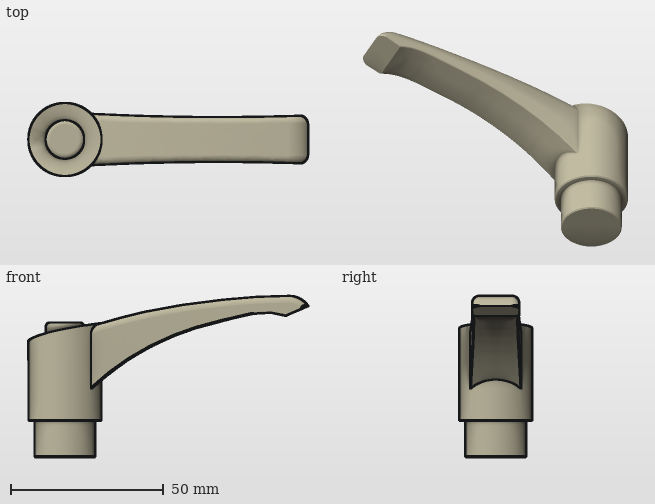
import cadquery as cq

overall_length = 91.7
overall_height = 52.9
hub_diameter = 24.0
hub_radius = hub_diameter / 2
hub_bottom = 11.9
hub_chamfer = 0.4
foot_diameter = 20.0
foot_chamfer = 0.4
foot_overlap = 0.9

rim_low = 38.1
rim_high = 44.0
dish_offset = 9.2

button_diameter = 12.65
button_top = 44.2
button_fillet = 1.6

tip_x = overall_length - hub_radius
tip_height = 49.5
arm_root_x = 7.3
arm_root_top = 42.45
arm_root_bottom = 21.1
crown_x = 73.35
root_slope = 0.33
top_points = [(25.0, 47.4), (38.8, 50.0), (52.6, 51.7)]
heel_x = 72.25
heel_z = 46.3
underside_points = [(67.5, 47.3), (55.4, 45.6), (42.3, 42.1), (30.9, 37.6), (19.4, 31.1)]
root_half_width = 8.5
waist_x = 42.2
waist_half_width = 7.4
end_half_width = 8.0
tip_corner_radius = 3.2
top_fillet = 2.3
bottom_fillet = 0.4


def make_hub():
    """Foot and hub, with the hub top hollowed by an off-centre dish."""
    foot = cq.Workplane("XY").circle(foot_diameter / 2).extrude(hub_bottom + foot_overlap)
    foot = foot.faces("<Z").chamfer(foot_chamfer)
    hub = cq.Workplane("XY").workplane(offset=hub_bottom).circle(hub_radius)
    hub = hub.extrude(overall_height - hub_bottom)
    hub = hub.faces("<Z").chamfer(hub_chamfer)

    slope = (rim_high - rim_low) / (2 * dish_offset)
    apex_z = rim_low - slope * (hub_radius - dish_offset)
    cone_radius = 2 * overall_height
    dish = (
        cq.Workplane("XZ")
        .moveTo(0, apex_z)
        .lineTo(cone_radius, apex_z + slope * cone_radius)
        .hLineTo(0)
        .close()
        .revolve(360, (0, 0, 0), (0, 1, 0))
        .translate((-dish_offset, 0, 0))
    )
    return foot.union(hub.cut(dish))


def make_button():
    """Round button with a rounded top edge, rooted inside the hub."""
    button = cq.Workplane("XY").workplane(offset=hub_bottom)
    button = button.circle(button_diameter / 2).extrude(button_top - hub_bottom)
    return button.faces(">Z").edges().fillet(button_fillet)


def round_long_edges(body, radius, upper):
    """Fillet the two long upper edges of the lever, or the two long lower ones."""
    edges = []
    for edge in body.edges().vals():
        box = edge.BoundingBox()
        is_upper = box.zmin > rim_low
        if box.xlen > waist_x and is_upper == upper:
            edges.append(edge)
    return cq.Workplane(body.val().fillet(radius, edges))


def lever_blank():
    """Waisted block with the curved lever top and its rounded upper edges."""
    drop = overall_height - tip_height
    tip_length = tip_x - crown_x
    nose_radius = (tip_length**2 + drop**2) / (2 * drop)
    side = (
        cq.Workplane("XZ")
        .moveTo(arm_root_x, arm_root_top)
        .spline(top_points + [(crown_x, overall_height)],
                tangents=[(1, root_slope), (1, 0)], includeCurrent=True)
        .radiusArc((crown_x + nose_radius, overall_height - nose_radius), nose_radius)
        .vLineTo(0)
        .hLineTo(arm_root_x)
        .close()
        .extrude(hub_diameter)
        .translate((0, hub_radius, 0))
    )
    end_x = crown_x + nose_radius
    plan = (
        cq.Workplane("XY")
        .moveTo(arm_root_x, -root_half_width)
        .threePointArc((waist_x, -waist_half_width), (end_x, -end_half_width))
        .vLineTo(end_half_width)
        .threePointArc((waist_x, waist_half_width), (arm_root_x, root_half_width))
        .close()
        .extrude(2 * overall_height)
    )
    return round_long_edges(side.intersect(plan), top_fillet, upper=True)


def make_arm():
    """Lever with its arched underside, tapering to a round-cornered tip."""
    outer = (
        cq.Workplane("XY")
        .rect(2 * tip_x, 2 * end_half_width)
        .extrude(overall_height)
        .edges("|Z and >X")
        .fillet(tip_corner_radius)
        .union(cq.Workplane("XY").rect(2 * crown_x, hub_diameter).extrude(overall_height))
    )
    underside = (
        cq.Workplane("XZ")
        .moveTo(tip_x, tip_height)
        .lineTo(heel_x, heel_z)
        .spline(underside_points + [(arm_root_x, arm_root_bottom)], includeCurrent=True)
        .vLineTo(0)
        .hLineTo(overall_length)
        .vLineTo(tip_height)
        .close()
        .extrude(hub_diameter)
        .translate((0, hub_radius, 0))
    )
    arm = round_long_edges(lever_blank().cut(underside), bottom_fillet, upper=False)
    return arm.intersect(outer)


hub_space = cq.Workplane("XY").circle(hub_radius).extrude(2 * overall_height)
arm_outside_hub = make_arm().cut(hub_space)
result = make_hub().union(make_button()).union(arm_outside_hub)